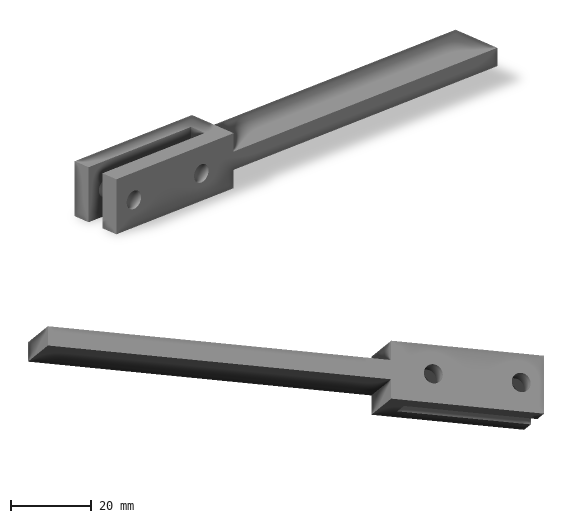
import cadquery as cq

total_length = 130.0
head_side = 15.0
head_length = 40.0
bar_thickness = head_side / 3
slot_width = head_side / 3
slot_depth = 35.0
hole_diameter = 5.0
hole_offsets = (6.0, 29.0)



def centered_block(width, length, height):
    """Block centred on X and Z that starts at the fork end."""
    return cq.Workplane("XY").box(width, length, height, centered=(True, False, True))


bar = centered_block(head_side, total_length, bar_thickness)
head = centered_block(head_side, head_length, head_side)

slot = centered_block(slot_width, slot_depth, head_side)

pins = (
    cq.Workplane("YZ")
    .pushPoints([(offset, 0) for offset in hole_offsets])
    .circle(hole_diameter / 2)
    .extrude(head_side, both=True)
)

result = bar.union(head).cut(slot).cut(pins)